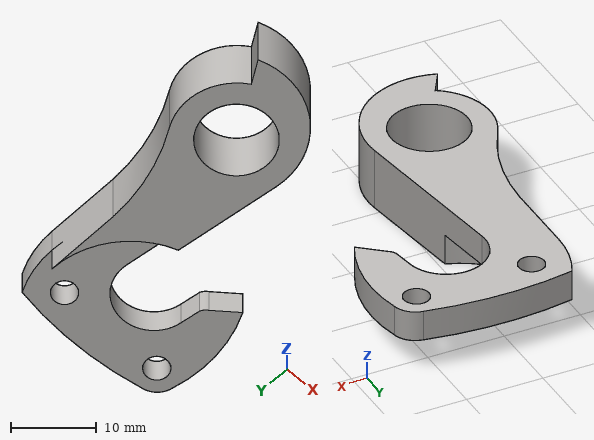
import cadquery as cq
import math

body_thickness = 8.0
hook_thickness = body_thickness / 2

pivot = (7.95, 10.4)
pivot_hole_diameter = 10.0
pivot_outer_radius = 7.98
cam_radius = 10.45
cam_center = (pivot[0] + pivot_outer_radius - cam_radius, cam_radius)

tooth_root = (3.7, 3.6)
tooth_tip_x = 1.9

waist_start = (1.1, 14.62)
waist_mid = (3.95, 20.85)
back_x = 5.15
straight_bottom = 28.2
straight_top = 38.3

head_corner = (6.8, 45.0)
head_corner_mid = (5.55, 41.75)
crown_top = (16.5, 45.85)
crown_end = (26.15, 44.8)
crown_blend_mid = (27.9, 43.85)
nose_start = (28.7, 42.3)
nose_mid = (29.3, 37.35)
nose_tip = (27.2, 28.95)

slot_center = (17.92, 34.4)
slot_radius = 5.15
slot_wall_angle = math.radians(7.5)
lip_top = (23.42, 32.35)
lip_mid = (23.7, 31.9)
lip_bottom = (24.1, 31.55)

mount_hole_diameter = 3.3
mount_hole_y = 41.58
mount_hole_xs = (10.35, 25.45)

shoulder_radius = 12.85
relief_limit = 50.42


def polar(center, radius, angle):
    return (center[0] + radius * math.cos(angle), center[1] + radius * math.sin(angle))


def make_outline():
    rim_mid = polar(pivot, pivot_outer_radius, math.pi)
    cam_end = polar(cam_center, cam_radius, slot_wall_angle)
    cam_mid = polar(cam_center, cam_radius, math.radians(-50))
    tooth_tip_drop = math.sqrt(cam_radius**2 - (cam_center[0] - tooth_tip_x) ** 2)
    tooth_tip = (tooth_tip_x, cam_center[1] - tooth_tip_drop)
    slot_start = polar(slot_center, slot_radius, math.pi + slot_wall_angle)
    slot_top = polar(slot_center, slot_radius, math.pi / 2)
    slot_end = polar(slot_center, slot_radius, slot_wall_angle)
    return (
        cq.Workplane("XY")
        .moveTo(*tooth_root)
        .threePointArc(rim_mid, waist_start)
        .threePointArc(waist_mid, (back_x, straight_bottom))
        .lineTo(back_x, straight_top)
        .threePointArc(head_corner_mid, head_corner)
        .threePointArc(crown_top, crown_end)
        .threePointArc(crown_blend_mid, nose_start)
        .threePointArc(nose_mid, nose_tip)
        .lineTo(*lip_bottom)
        .threePointArc(lip_mid, lip_top)
        .lineTo(*slot_end)
        .threePointArc(slot_top, slot_start)
        .lineTo(*cam_end)
        .threePointArc(cam_mid, tooth_tip)
        .close()
    )


def make_hook_relief():
    """Space under the hook, bounded by the curved shoulder and open on the other sides."""
    center = (back_x + shoulder_radius, straight_top)
    shoulder_bottom = (center[0], center[1] - shoulder_radius)
    return (
        cq.Workplane("XY")
        .moveTo(back_x, straight_top)
        .threePointArc(polar(center, shoulder_radius, math.radians(225)), shoulder_bottom)
        .lineTo(relief_limit, shoulder_bottom[1])
        .lineTo(relief_limit, relief_limit)
        .lineTo(0, relief_limit)
        .lineTo(0, straight_top)
        .close()
        .extrude(body_thickness - hook_thickness)
    )


plate = make_outline().extrude(body_thickness)
pivot_hole = cq.Workplane("XY").center(*pivot).circle(pivot_hole_diameter / 2).extrude(body_thickness)
mount_holes = (
    cq.Workplane("XY")
    .pushPoints([(x, mount_hole_y) for x in mount_hole_xs])
    .circle(mount_hole_diameter / 2)
    .extrude(body_thickness)
)

result = plate.cut(make_hook_relief()).cut(pivot_hole).cut(mount_holes)